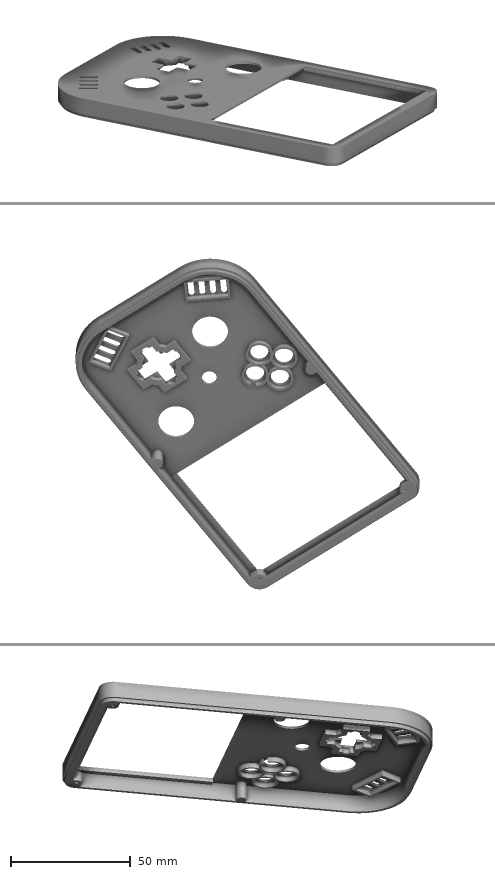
import cadquery as cq
import math

LENGTH = 145.0
WIDTH = 86.55
HEIGHT = 8.5
LEFT_RADIUS = 22.5
RIGHT_RADIUS = 6.0
WALL = 2.5
PLATE = 1.0
PLATE_BOTTOM = HEIGHT - PLATE
INNER_X = LENGTH / 2 - WALL
INNER_Y = WIDTH / 2 - WALL

RIM_HEIGHT = 1.5
RIM_INSET = 1.0

WINDOW_LEFT = 8.3
WINDOW_RIGHT = 67.8
WINDOW_HALF_WIDTH = 38.5
LIP_INSET = 0.5
LIP_THICKNESS = 1.0
LIP_BOTTOM = PLATE_BOTTOM - LIP_THICKNESS

LEDGE_DEPTH = 1.5
LEDGE_HEIGHT = 3.1

BOSS_DIAMETER = 4.5
BOSS_HOLE_DIAMETER = 1.4
CORNER_BOSS_HEIGHT = 4.4
CORNER_BOSS_X = 66.6
CORNER_BOSS_Y = 37.3
MID_BOSS_X = -4.0
MID_BOSS_Y = 39.3

STICK_DIAMETER = 15.0
STICK_CENTERS = [(-12.4, 23.7), (-39.8, -13.2)]
MENU_DIAMETER = 6.2
MENU_CENTER = (-21.8, 0.0)

GUIDE_DEPTH = 3.2
GUIDE_BOTTOM = HEIGHT - GUIDE_DEPTH

BUTTON_DIAMETER = 7.6
BUTTON_OFFSET = 7.4
BUTTON_CENTER = (-12.6, -24.3)
TUBE_BORE = 9.2
TUBE_WALL = 1.0
KEYWAY_WIDTH = 2.4
KEYWAY_ANGLE = 45.0

PAD_CENTER = (-39.8, 13.0)
PAD_SPAN = 19.0
PAD_ARM = 6.4
PAD_WALL = 2.5
PAD_CLEARANCE_DIAMETER = 14.0
PAD_NOTCH_DIAMETER = 4.0
PAD_NOTCH_INSET = 0.9

SLOT_COUNT = 4
SLOT_LENGTH = 8.1
SLOT_WIDTH = 2.5
SLOT_PITCH = 4.55
SLOT_ANGLE = 30.0
SPEAKER_X = -58.7
SPEAKER_Y = 25.2
SPEAKER_MARGIN = 0.3
SPEAKER_WALL = 1.0
SPEAKER_DEPTH = 3.5
SPEAKER_BOTTOM = HEIGHT - SPEAKER_DEPTH


def outline(inset, bottom, top):
    """Prism of the body outline, moved inward by inset."""
    base = cq.Workplane("XY").workplane(offset=bottom)
    prism = base.rect(LENGTH - 2 * inset, WIDTH - 2 * inset).extrude(top - bottom)
    prism = prism.edges("|Z and <X").fillet(LEFT_RADIUS - inset)
    return prism.edges("|Z and >X").fillet(RIGHT_RADIUS - inset)


def block(x_range, y_range, z_range):
    """Axis-aligned box between the given limits."""
    limits = (x_range, y_range, z_range)
    size = [high - low for low, high in limits]
    corner = tuple(low for low, _ in limits)
    return cq.Workplane("XY").box(*size, centered=False).translate(corner)


def disc(center, diameter, bottom, top):
    """Upright cylinder."""
    base = cq.Workplane("XY").workplane(offset=bottom).center(*center)
    return base.circle(diameter / 2).extrude(top - bottom)


def cross(span, arm, bottom, top):
    """Upright cross centred on the pad."""
    base = cq.Workplane("XY").workplane(offset=bottom).center(*PAD_CENTER)
    along_x = base.rect(span, arm).extrude(top - bottom)
    along_y = base.rect(arm, span).extrude(top - bottom)
    return along_x.union(along_y)


def mirrored(shape):
    """The shape together with its mirror image about the X axis."""
    return shape.union(shape.mirror("XZ"))


def hollow_shell(cavity):
    """Plate, walls and mating rim."""
    upper = outline(0, RIM_HEIGHT, HEIGHT)
    rim = outline(RIM_INSET, 0, RIM_HEIGHT)
    return upper.union(rim).cut(cavity)


def add_window(body, cavity):
    """Add the lip and the right ledge, then cut the stepped window."""
    full_y = (-INNER_Y, INNER_Y)
    lip = block((WINDOW_LEFT, INNER_X), full_y, (LIP_BOTTOM, PLATE_BOTTOM))
    ledge = block((INNER_X - LEDGE_DEPTH, INNER_X), full_y, (0, LEDGE_HEIGHT))
    body = body.union(lip.union(ledge).intersect(cavity))
    for inset, bottom in ((0, PLATE_BOTTOM), (LIP_INSET, LIP_BOTTOM)):
        half_width = WINDOW_HALF_WIDTH - inset
        x_range = (WINDOW_LEFT, WINDOW_RIGHT - inset)
        body = body.cut(block(x_range, (-half_width, half_width), (bottom, HEIGHT)))
    return body


def add_corner_bosses(body, cavity):
    """Drilled bosses joined to the right wall and the long walls."""
    center = (CORNER_BOSS_X, CORNER_BOSS_Y)
    radius = BOSS_DIAMETER / 2
    z_range = (0, CORNER_BOSS_HEIGHT)
    boss = disc(center, BOSS_DIAMETER, *z_range)
    boss = boss.union(block((CORNER_BOSS_X, INNER_X), (CORNER_BOSS_Y - radius, INNER_Y), z_range))
    boss = boss.union(block((CORNER_BOSS_X - radius, INNER_X), (CORNER_BOSS_Y, INNER_Y), z_range))
    hole = disc(center, BOSS_HOLE_DIAMETER, *z_range)
    return body.union(mirrored(boss).intersect(cavity)).cut(mirrored(hole))


def add_mid_bosses(body):
    """Plain bosses joined to the long walls, reaching up to the plate."""
    radius = BOSS_DIAMETER / 2
    z_range = (0, PLATE_BOTTOM)
    web = block((MID_BOSS_X - radius, MID_BOSS_X + radius), (MID_BOSS_Y, INNER_Y), z_range)
    boss = disc((MID_BOSS_X, MID_BOSS_Y), BOSS_DIAMETER, *z_range).union(web)
    return body.union(mirrored(boss))


def add_buttons(body):
    """Four button holes with guide tubes; the +Y tube has a keyway."""
    x, y = BUTTON_CENTER
    north = (x, y + BUTTON_OFFSET)
    south = (x, y - BUTTON_OFFSET)
    centers = [north, south, (x + BUTTON_OFFSET, y), (x - BUTTON_OFFSET, y)]
    tube_diameter = TUBE_BORE + 2 * TUBE_WALL
    for center in centers:
        body = body.union(disc(center, tube_diameter, GUIDE_BOTTOM, PLATE_BOTTOM))
    for center in centers:
        body = body.cut(disc(center, TUBE_BORE, GUIDE_BOTTOM, PLATE_BOTTOM))
        body = body.cut(disc(center, BUTTON_DIAMETER, PLATE_BOTTOM, HEIGHT))
    half_key = KEYWAY_WIDTH / 2
    keyway = block((0, tube_diameter / 2), (-half_key, half_key), (GUIDE_BOTTOM, PLATE_BOTTOM))
    keyway = keyway.rotate((0, 0, 0), (0, 0, 1), KEYWAY_ANGLE)
    return body.cut(keyway.translate((*north, 0)))


def add_cross_pad(body):
    """Cross opening with its guide wall, round clearance and end notches."""
    guide = cross(PAD_SPAN + 2 * PAD_WALL, PAD_ARM + 2 * PAD_WALL, GUIDE_BOTTOM, PLATE_BOTTOM)
    hub_diameter = PAD_CLEARANCE_DIAMETER + 2 * PAD_WALL
    guide = guide.union(disc(PAD_CENTER, hub_diameter, GUIDE_BOTTOM, PLATE_BOTTOM))
    body = body.union(guide).cut(cross(PAD_SPAN, PAD_ARM, GUIDE_BOTTOM, HEIGHT))
    body = body.cut(disc(PAD_CENTER, PAD_CLEARANCE_DIAMETER, GUIDE_BOTTOM, PLATE_BOTTOM))
    reach = PAD_SPAN / 2 - PAD_NOTCH_INSET
    for quarter in range(4):
        angle = quarter * math.pi / 2
        x = PAD_CENTER[0] + reach * math.cos(angle)
        y = PAD_CENTER[1] + reach * math.sin(angle)
        body = body.cut(disc((x, y), PAD_NOTCH_DIAMETER, GUIDE_BOTTOM, PLATE_BOTTOM))
    return body


def cut_round_openings(body):
    """Stick and menu button holes through the plate."""
    for center in STICK_CENTERS:
        body = body.cut(disc(center, STICK_DIAMETER, PLATE_BOTTOM, HEIGHT))
    return body.cut(disc(MENU_CENTER, MENU_DIAMETER, PLATE_BOTTOM, HEIGHT))


def place_speaker(shape):
    """Move a shape from the origin to both speaker positions."""
    turned = shape.rotate((0, 0, 0), (0, 0, 1), -SLOT_ANGLE)
    return mirrored(turned.translate((SPEAKER_X, SPEAKER_Y, 0)))


def add_speakers(body):
    """Slot groups through the plate, each inside a frame below it."""
    frame_width = SLOT_PITCH * (SLOT_COUNT - 1) + SLOT_WIDTH + 2 * SPEAKER_MARGIN
    frame_height = PLATE_BOTTOM - SPEAKER_BOTTOM
    base = cq.Workplane("XY").workplane(offset=SPEAKER_BOTTOM)
    outer = base.rect(SLOT_LENGTH + 2 * SPEAKER_WALL, frame_width + 2 * SPEAKER_WALL)
    frame = outer.extrude(frame_height)
    frame = frame.cut(base.rect(SLOT_LENGTH, frame_width).extrude(frame_height))
    rows = cq.Workplane("XY").workplane(offset=PLATE_BOTTOM).rarray(1, SLOT_PITCH, 1, SLOT_COUNT)
    slots = rows.slot2D(SLOT_LENGTH, SLOT_WIDTH).extrude(PLATE)
    return body.union(place_speaker(frame)).cut(place_speaker(slots))


cavity = outline(WALL, 0, PLATE_BOTTOM)
body = hollow_shell(cavity)
body = add_window(body, cavity)
body = add_corner_bosses(body, cavity)
body = add_mid_bosses(body)
body = add_buttons(body)
body = add_cross_pad(body)
body = cut_round_openings(body)
body = add_speakers(body)
result = body